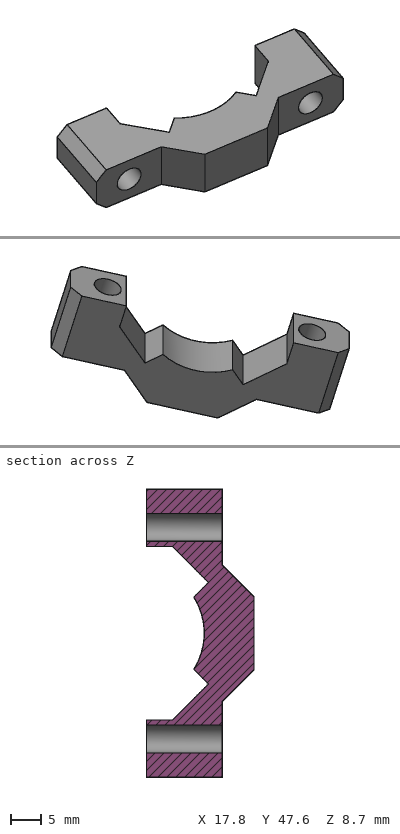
import cadquery as cq

length = 47.6
depth = 17.75
height = 8.7

pad_depth = 12.52
pad_inner_y = 14.3
end_chamfer = 1.9
hole_diameter = 4.55
hole_y = 17.5

back_half_width = 6.05
shoulder_y = back_half_width + depth - pad_depth

flank_start_x = 4.35
corner_x = 10.25
corner_y = pad_inner_y - (corner_x - flank_start_x)
seat_half_width = 5.95
seat_edge_x = corner_x - (corner_y - seat_half_width)
seat_bottom_x = 9.52


def clamp_body():
    """Extrude the bridge outline, symmetric about Y = 0."""
    half_length = length / 2
    inner_edge = [
        (0, half_length),
        (0, pad_inner_y),
        (flank_start_x, pad_inner_y),
        (corner_x, corner_y),
        (seat_edge_x, seat_half_width),
    ]
    outer_edge = [
        (depth, back_half_width),
        (pad_depth, shoulder_y),
        (pad_depth, half_length),
    ]
    mirrored_inner = [(x, -y) for x, y in reversed(inner_edge)]
    mirrored_outer = [(x, -y) for x, y in reversed(outer_edge)]
    outline = cq.Workplane("XY").polyline(inner_edge)
    outline = outline.threePointArc((seat_bottom_x, 0), mirrored_inner[0])
    for point in mirrored_inner[1:] + mirrored_outer + outer_edge:
        outline = outline.lineTo(*point)
    return outline.close().extrude(height)


def bolt_holes():
    """Holes along X through both end pads."""
    return (
        cq.Workplane("YZ")
        .pushPoints([(-hole_y, height / 2), (hole_y, height / 2)])
        .circle(hole_diameter / 2)
        .extrude(depth)
    )


body = clamp_body()
body = body.faces("<Y or >Y").edges("|X").chamfer(end_chamfer)
result = body.cut(bolt_holes())